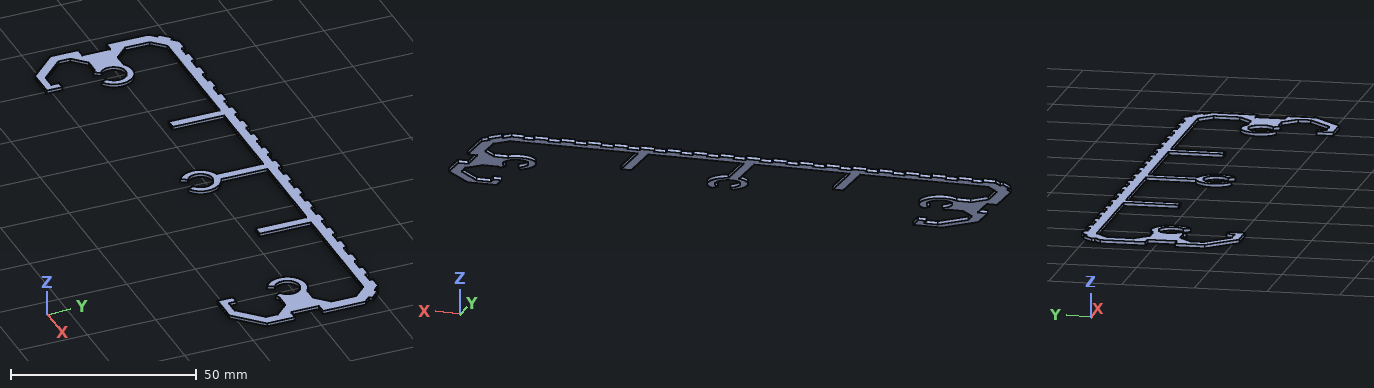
import cadquery as cq
import math

width = 150.0
height = 43.0
thickness = 1.0
half_width = width / 2

plate_depth = 4.0
ridge_height = 1.0
ridge_width = 4.0
ridge_pitch = 7.5
ridges_per_side = 8
end_land_start = 65.0
corner_chamfer = 6.5

upper_wall = 3.8
lower_wall = 3.3
upper_inner_chamfer = 3.6
foot_chamfer = 7.8
foot_thickness = 2.4
foot_inner_chamfer = 6.5
foot_length = 16.0
lip_width = 2.4
lip_height = 4.6

web_top = -18.6
web_bottom = -27.0
web_chamfer = 3.8
notch_depth = 2.8
notch_width = 8.1

boss_outer_radius = 5.5
boss_inner_radius = 3.5
boss_mouth_half_angle = 30.0
boss_x = 60.0
boss_y = -23.0
rib_x = 30.0
rib_width = 3.0
rib_end = -19.0


def block(x_min, x_max, y_min, y_max):
    """Rectangular block through the full thickness."""
    return cq.Workplane("XY").box(
        x_max - x_min, y_max - y_min, thickness, centered=False
    ).translate((x_min, y_min, 0))


def side_wall():
    """Left wall with its share of the top plate, web, foot and lip."""
    outside = -half_width
    upper_inside = outside + upper_wall
    lower_inside = outside + lower_wall
    lip_end = outside + foot_length
    lip_inside = lip_end - lip_width
    foot_top = -height + foot_thickness
    notch_top = boss_y + notch_width / 2
    notch_bottom = boss_y - notch_width / 2
    outline = [
        (0, -ridge_height),
        (-end_land_start, -ridge_height),
        (-end_land_start, 0),
        (outside + corner_chamfer, 0),
        (outside, -corner_chamfer),
        (outside, notch_top),
        (outside + notch_depth, notch_top),
        (outside + notch_depth, notch_bottom),
        (outside, notch_bottom),
        (outside, -height + foot_chamfer),
        (outside + foot_chamfer, -height),
        (lip_end, -height),
        (lip_end, -height + lip_height),
        (lip_inside, -height + lip_height),
        (lip_inside, foot_top),
        (lower_inside + foot_inner_chamfer, foot_top),
        (lower_inside, foot_top + foot_inner_chamfer),
        (lower_inside, web_bottom - web_chamfer),
        (lower_inside + web_chamfer, web_bottom),
        (-boss_x, web_bottom),
        (-boss_x, web_top),
        (upper_inside + web_chamfer, web_top),
        (upper_inside, web_top + web_chamfer),
        (upper_inside, -plate_depth - upper_inner_chamfer),
        (upper_inside + upper_inner_chamfer, -plate_depth),
        (0, -plate_depth),
    ]
    return cq.Workplane("XY").polyline(outline).close().extrude(thickness)


def corner_ridge():
    """Ridge standing on the middle of the left corner chamfer."""
    ridge = block(-ridge_width / 2, ridge_width / 2, -ridge_height, ridge_height)
    middle = (-half_width + corner_chamfer / 2, -corner_chamfer / 2, 0)
    return ridge.rotate((0, 0, 0), (0, 0, 1), 45).translate(middle)


def rib(x, end):
    """Rib hanging from the top plate."""
    return block(x - rib_width / 2, x + rib_width / 2, end, -ridge_height)


def boss_opening(x):
    """Round bore with a wedge-shaped mouth that opens downward."""
    bore = cq.Workplane("XY").center(x, boss_y).circle(boss_inner_radius).extrude(thickness)
    mouth_depth = boss_outer_radius + boss_inner_radius
    mouth_half_width = mouth_depth * math.tan(math.radians(boss_mouth_half_angle))
    mouth = (
        cq.Workplane("XY")
        .center(x, boss_y)
        .polyline([(0, 0), (-mouth_half_width, -mouth_depth), (mouth_half_width, -mouth_depth)])
        .close()
        .extrude(thickness)
    )
    return bore.union(mouth)


left_half = side_wall().union(corner_ridge())
result = left_half.union(left_half.mirror("YZ"))

for index in range(-ridges_per_side, ridges_per_side + 1):
    ridge_x = index * ridge_pitch
    result = result.union(
        block(ridge_x - ridge_width / 2, ridge_x + ridge_width / 2, -plate_depth, 0)
    )

for x in (-rib_x, rib_x):
    result = result.union(rib(x, rib_end))
result = result.union(rib(0, boss_y))

for x in (-boss_x, 0, boss_x):
    boss = cq.Workplane("XY").center(x, boss_y).circle(boss_outer_radius).extrude(thickness)
    result = result.union(boss).cut(boss_opening(x))